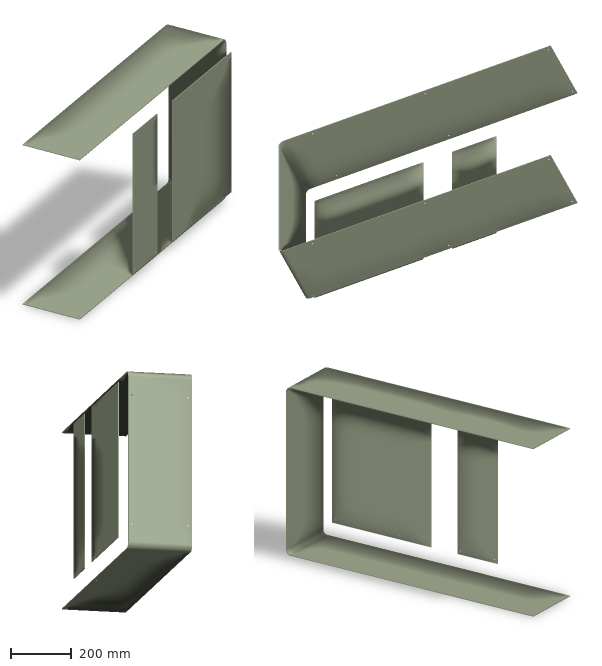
import cadquery as cq

sheet = 3.0
border = 25.5
hole_inset = 13.0
hole_diameter = 5.0

wrap_width = 216.0
wrap_depth = 980.0
wrap_height = 596.0
bend_radius = 20.0
back_hole_height = 216.0
flange_hole_places = [hole_inset, 458.0, 863.0]

panel_gap = 27.0
panel_height = 522.0
large_panel_length = 392.0
large_panel_back = wrap_depth - bend_radius
large_hole_spacing = 254.0
small_panel_length = 159.0
small_panel_back = 465.0
panel_x = wrap_width + panel_gap


def u_sheet(x_start, width, front):
    """U-shaped bent strip reaching forward to Y = front, centred on Z = 0."""
    outer = (
        cq.Workplane("YZ", origin=(x_start, 0, 0))
        .moveTo(front, -wrap_height / 2)
        .rect(wrap_depth - front, wrap_height, centered=False)
        .extrude(width)
        .edges("|X and >Y")
        .fillet(bend_radius)
    )
    inner = (
        cq.Workplane("YZ", origin=(x_start, 0, 0))
        .moveTo(front, sheet - wrap_height / 2)
        .rect(wrap_depth - sheet - front, wrap_height - 2 * sheet, centered=False)
        .extrude(width)
        .edges("|X and >Y")
        .fillet(bend_radius - sheet)
    )
    return outer.cut(inner)


def make_wrap():
    field = u_sheet(border, wrap_width - 2 * border, border)
    frame = u_sheet(0, wrap_width, 0).cut(field)
    wrap = frame.union(field, clean=False)

    hole_columns = [hole_inset, wrap_width - hole_inset]
    flange_holes = (
        cq.Workplane("XY", origin=(0, 0, -wrap_height / 2))
        .pushPoints([(x, y) for x in hole_columns for y in flange_hole_places])
        .circle(hole_diameter / 2)
        .extrude(wrap_height)
    )
    back_holes = (
        cq.Workplane("XZ", origin=(0, wrap_depth, 0))
        .pushPoints([(x, z) for x in hole_columns for z in (-back_hole_height, back_hole_height)])
        .circle(hole_diameter / 2)
        .extrude(sheet)
    )
    return wrap.cut(flange_holes, clean=False).cut(back_holes, clean=False)


def panel_plate(length, height, back):
    """Plain upright plate whose rear edge is at Y = back."""
    return (
        cq.Workplane("YZ", origin=(panel_x, back - length / 2, 0))
        .rect(length, height)
        .extrude(sheet)
    )


def make_panel(length, back, hole_spacing):
    field = panel_plate(length - 2 * border, panel_height - 2 * border, back - border)
    frame = panel_plate(length, panel_height, back).cut(field)
    panel = frame.union(field, clean=False)

    rear_hole = back - hole_inset
    hole_columns = [rear_hole, rear_hole - hole_spacing]
    hole_height = panel_height / 2 - hole_inset
    holes = (
        cq.Workplane("YZ", origin=(panel_x, 0, 0))
        .pushPoints([(y, z) for y in hole_columns for z in (-hole_height, hole_height)])
        .circle(hole_diameter / 2)
        .extrude(sheet)
    )
    return panel.cut(holes, clean=False)


wrap = make_wrap()
large_panel = make_panel(large_panel_length, large_panel_back, large_hole_spacing)
small_panel = make_panel(small_panel_length, small_panel_back, small_panel_length - 2 * hole_inset)

result = cq.Compound.makeCompound([
    wrap.val(),
    large_panel.val(),
    small_panel.val(),
])